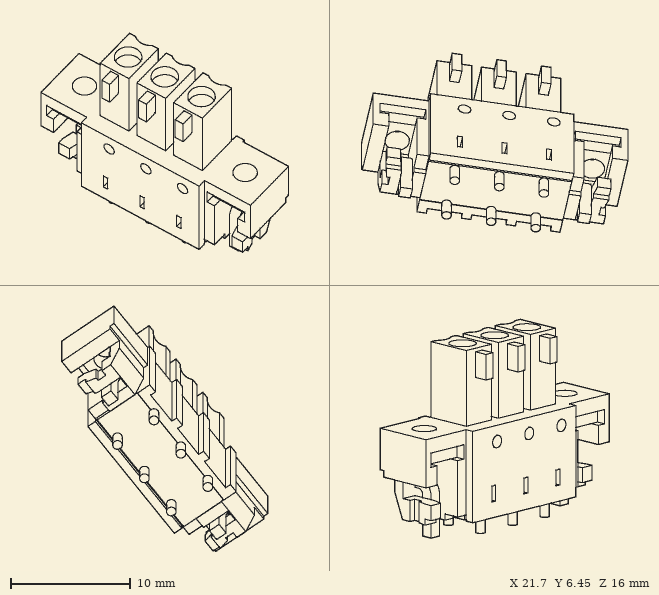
import cadquery as cq


pole_pitch = 3.8
pole_places = [-pole_pitch, 0, pole_pitch]
sides = [-1, 1]

standoff = 1.5
housing_top = 9.43
total_height = 16.0

core_half_width = 6.1
core_depth = 6.45
front_plate = 0.78
underside_relief = 2.05
relief_back = 2.28
core_underside = 1.56
core_pad_front = 0.98
core_pad_back = 5.15
rear_notch_floor = 5.95

front_hole_diameter = 1.06
front_hole_height = 8.02
front_hole_offset = 0.59
front_slot_width = 0.43
front_slot_bottom = 2.9
front_slot_top = 4.25
front_slot_offset = 0.2
front_opening_depth = 1.5

tower_width = 2.98
tower_front = 1.59
tower_back = 5.78
socket_diameter = 2.3
socket_depth = 1.0
socket_y = 3.52
groove_width = 1.74
groove_depth = 0.33
hook_width = 0.83
hook_front = 0.33
hook_bottom = 13.47
hook_top = 15.69

flange_end = 10.86
flange_back = 6.24
flange_bottom = 5.25
flange_step_height = 5.82
screw_hole_diameter = 2.05
screw_hole_x = 8.32
slot_width = 3.9
slot_bottom = 6.93
slot_top = 8.17
slot_back = 1.6

leg_outer = 9.55
leg_back = 5.82
taper_top = 3.72
taper_foot = 4.91
cavity_inner = 7.13
cavity_back = 4.85

arm_top = 3.35
arm_front = 1.5
arm_tip_inner = 8.4
arm_inner = 8.13
arm_inner_bend = 2.59
notch_floor = 9.0
notch_front = 3.22
notch_back = 4.0
crank_back = 9.28
crank_front = 2.13

clip_thickness = 1.0
clip_front = 2.91
clip_bend_radius = 1.5
clip_top = 5.06

pin_diameter = 0.8
pin_front_row = 1.4
pin_row_spacing = pole_pitch
pin_rows = [pin_front_row, pin_front_row + pin_row_spacing]
pin_length = 2.5


def block(x0, x1, y0, y1, z0, z1):
    """Box between two corners, given as limits along each axis."""
    return cq.Workplane("XY").box(x1 - x0, y1 - y0, z1 - z0, centered=False).translate((x0, y0, z0))


def make_core():
    """Middle of the housing with its rear notches and relieved underside."""
    w = core_half_width
    core = block(-w, w, 0, core_depth, standoff, housing_top)
    core = core.cut(block(-w, w, front_plate, core_pad_front, standoff, underside_relief))
    core = core.cut(block(-w, w, core_pad_front, core_pad_back, standoff, core_underside))
    for x in pole_places:
        half = tower_width / 2
        core = core.cut(block(x - half, x + half, rear_notch_floor, core_depth, standoff, housing_top))
    return core


def front_openings(x):
    """Round blind hole and narrow slot in the front face at one pole."""
    hole = (
        cq.Workplane("XZ")
        .center(x + front_hole_offset, front_hole_height)
        .circle(front_hole_diameter / 2)
        .extrude(-front_opening_depth)
    )
    slot_left = x + front_slot_offset - front_slot_width / 2
    slot = block(
        slot_left, slot_left + front_slot_width, 0, front_opening_depth, front_slot_bottom, front_slot_top
    )
    return hole.union(slot)


def make_tower(x):
    """Tower of one pole with a round socket, a rear groove and a front hook."""
    groove_half = groove_width / 2
    tower = (
        cq.Workplane("XY", origin=(x, 0, housing_top))
        .moveTo(-tower_width / 2, tower_front)
        .lineTo(tower_width / 2, tower_front)
        .lineTo(tower_width / 2, tower_back)
        .lineTo(groove_half, tower_back)
        .threePointArc((0, tower_back - groove_depth), (-groove_half, tower_back))
        .lineTo(-tower_width / 2, tower_back)
        .close()
        .extrude(total_height - housing_top)
    )
    socket = (
        cq.Workplane("XY", origin=(x, socket_y, total_height))
        .circle(socket_diameter / 2)
        .extrude(-socket_depth)
    )
    hook = block(
        x - hook_width / 2, x + hook_width / 2, hook_front, tower_front, hook_bottom, hook_top
    )
    return tower.cut(socket).union(hook)


def make_arm():
    """Cranked arm that runs forward from the back wall of the leg."""
    outline = [
        (arm_inner, cavity_back),
        (leg_outer, cavity_back),
        (leg_outer, notch_back),
        (notch_floor, notch_back),
        (notch_floor, notch_front),
        (crank_back, notch_front),
        (leg_outer, crank_front),
        (leg_outer, arm_front),
        (arm_tip_inner, arm_front),
        (arm_inner, arm_inner_bend),
    ]
    arm = cq.Workplane("XY", origin=(0, 0, standoff)).polyline(outline).close()
    return arm.extrude(arm_top - standoff)


def make_flange():
    """Flange of the +X end with its leg, screw hole, front slot and arm."""
    flange = block(
        core_half_width, flange_end, front_plate, leg_back, flange_bottom, housing_top
    ).union(
        block(core_half_width, flange_end, leg_back, flange_back, flange_step_height, housing_top)
    )
    leg_profile = [
        (front_plate, flange_bottom),
        (leg_back, flange_bottom),
        (leg_back, taper_top),
        (taper_foot, standoff),
        (front_plate, standoff),
    ]
    leg = (
        cq.Workplane("YZ", origin=(core_half_width, 0, 0))
        .polyline(leg_profile)
        .close()
        .extrude(leg_outer - core_half_width)
    )
    cavity = block(cavity_inner, leg_outer, front_plate, cavity_back, standoff, slot_bottom)
    slot = block(
        screw_hole_x - slot_width / 2,
        screw_hole_x + slot_width / 2,
        front_plate,
        slot_back,
        slot_bottom,
        slot_top,
    )
    screw_hole = (
        cq.Workplane("XY", origin=(screw_hole_x, socket_y, slot_bottom))
        .circle(screw_hole_diameter / 2)
        .extrude(housing_top - slot_bottom)
    )
    relief = block(core_half_width, leg_outer, front_plate, relief_back, standoff, underside_relief)
    body = flange.union(leg).cut(cavity).cut(slot).cut(screw_hole)
    return body.union(make_arm()).cut(relief)


def make_pin(x, y):
    """Round solder pin with its upper end in the housing."""
    return cq.Workplane("XY", origin=(x, y, 0)).circle(pin_diameter / 2).extrude(pin_length)


def make_clip():
    """Bent solder clip of the +X end, lying against the inner wall of the cavity."""
    bend_y = clip_front + clip_bend_radius
    bend_z = clip_top - clip_bend_radius
    inner_radius = clip_bend_radius - clip_thickness
    diagonal = 0.5**0.5
    outer_middle = (bend_y - clip_bend_radius * diagonal, bend_z + clip_bend_radius * diagonal)
    inner_middle = (bend_y - inner_radius * diagonal, bend_z + inner_radius * diagonal)
    return (
        cq.Workplane("YZ", origin=(cavity_inner, 0, 0))
        .moveTo(clip_front, 0)
        .lineTo(clip_front, bend_z)
        .threePointArc(outer_middle, (bend_y, clip_top))
        .lineTo(cavity_back, clip_top)
        .lineTo(cavity_back, clip_top - clip_thickness)
        .lineTo(bend_y, clip_top - clip_thickness)
        .threePointArc(inner_middle, (clip_front + clip_thickness, bend_z))
        .lineTo(clip_front + clip_thickness, 0)
        .close()
        .extrude(clip_thickness)
    )


def on_side(part, side):
    """Part built for the +X end, mirrored when the -X end is wanted."""
    return part if side > 0 else part.mirror("YZ")


pins = [make_pin(x, y) for x in pole_places for y in pin_rows]
clips = [on_side(make_clip(), side) for side in sides]

housing = make_core()
for side in sides:
    housing = housing.union(on_side(make_flange(), side))
for x in pole_places:
    housing = housing.union(make_tower(x)).cut(front_openings(x))
for pin in pins:
    housing = housing.cut(pin)

result = cq.Compound.makeCompound(
    [housing.solids().val(), *[clip.val() for clip in clips], *[pin.val() for pin in pins]]
)